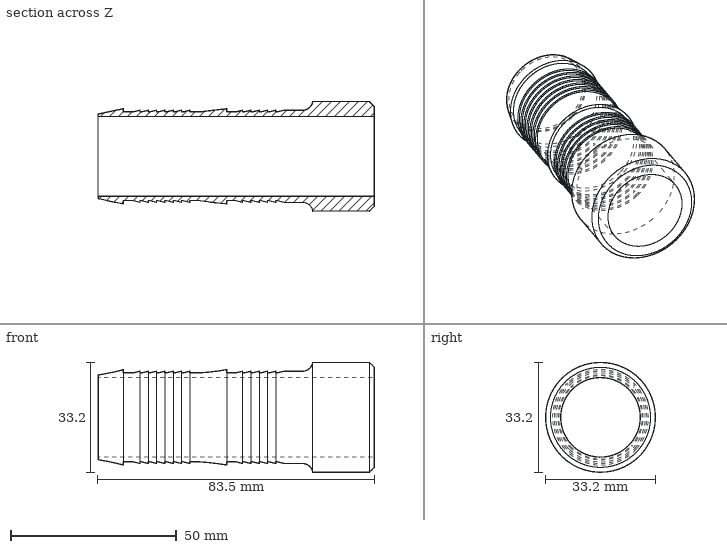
import cadquery as cq
import math


length = 83.5
bore_radius = 24.0 / 2
body_radius = 27.0 / 2
rib_radius = 28.0 / 2

barb_radius = 14.45
tip_face_radius = 12.6
tip_radius = 12.9
tip_chamfer = 0.25
front_barb_end = 7.8
rear_barb_start = 30.9
rear_barb_end = 39.0

rib_width = 2.0
rib_pitch = 2.5
front_rib_start = 10.8
front_rib_count = 7
rear_rib_start = 41.75
rear_rib_count = 6

collar_radius = 33.2 / 2
collar_start = 64.9
collar_front_chamfer = 0.4
collar_end_chamfer = 1.5
neck_end = 61.9
neck_fillet = 3.0


def add_ramp(outline, start, end, peak_radius):
    """Rise from the body to a peak, ready for the square drop behind it."""
    return outline.lineTo(start, body_radius).lineTo(end, peak_radius)


def add_ribs(outline, first_start, count):
    """Add saw-tooth ribs, dropping to the body between them; end on the last peak."""
    for index in range(count):
        start = first_start + index * rib_pitch
        if index > 0:
            outline = outline.lineTo(start - rib_pitch + rib_width, body_radius)
        outline = add_ramp(outline, start, start + rib_width, rib_radius)
    return outline


def fillet_point(angle):
    """Point on the concave neck fillet, with the angle measured from the neck."""
    return (
        neck_end + neck_fillet * math.sin(angle),
        rib_radius + neck_fillet * (1 - math.cos(angle)),
    )


front_ribs_end = front_rib_start + (front_rib_count - 1) * rib_pitch + rib_width
fillet_top_radius = collar_radius - collar_front_chamfer
fillet_angle = math.acos(1 - (fillet_top_radius - rib_radius) / neck_fillet)

outline = cq.Workplane("XY").moveTo(0, bore_radius).lineTo(0, tip_face_radius)
outline = outline.lineTo(tip_chamfer, tip_radius).lineTo(front_barb_end, barb_radius)
outline = outline.lineTo(front_barb_end, body_radius)

outline = add_ribs(outline, front_rib_start, front_rib_count)
outline = outline.lineTo(front_ribs_end, body_radius)

outline = add_ramp(outline, rear_barb_start, rear_barb_end, barb_radius)
outline = outline.lineTo(rear_barb_end, body_radius)

outline = add_ribs(outline, rear_rib_start, rear_rib_count)
outline = outline.lineTo(neck_end, rib_radius)

outline = outline.threePointArc(fillet_point(fillet_angle / 2), fillet_point(fillet_angle))
outline = outline.lineTo(collar_start, collar_radius)
outline = outline.lineTo(length - collar_end_chamfer, collar_radius)
outline = outline.lineTo(length, collar_radius - collar_end_chamfer)

outline = outline.lineTo(length, bore_radius).close()
result = outline.revolve(360, (0, 0, 0), (1, 0, 0))